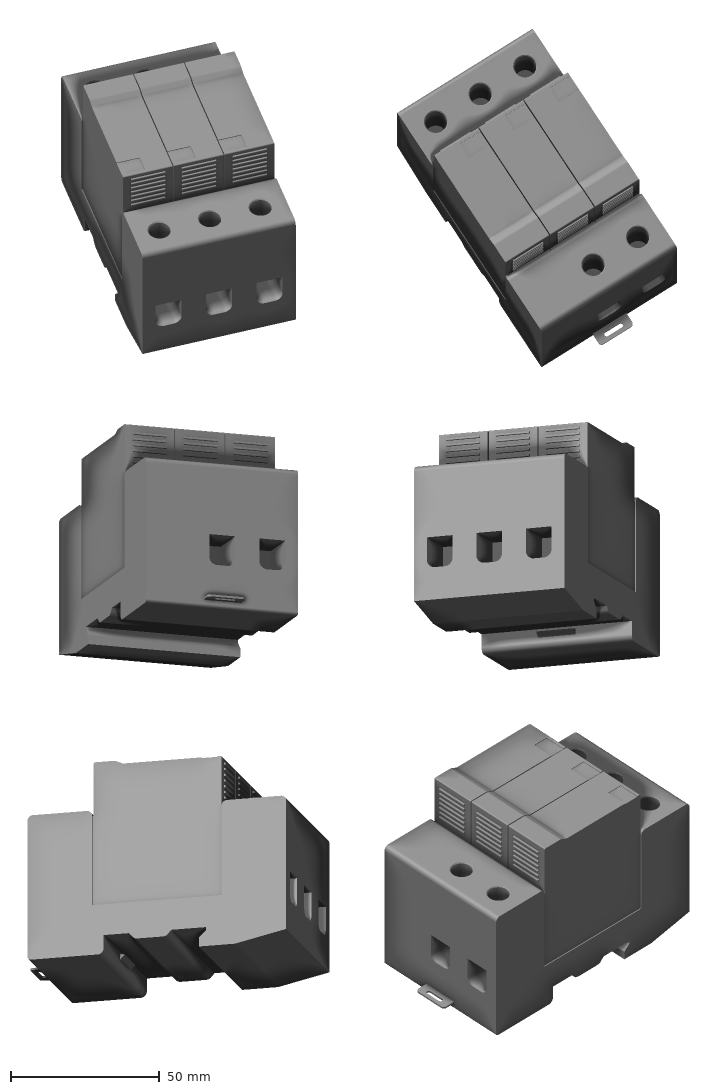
import cadquery as cq

body_length = 90.2
body_width = 54.0
body_height = 50.5
body_top_radius = 1.8
heel_radius = 1.0
toe_radius = 2.0

bay_length = 45.2
bay_floor = 17.4
bay_left = (body_length - bay_length) / 2
bay_right = bay_left + bay_length

recess_left = 26.5
recess_right = 62.2
recess_roof = 6.6
hook_tip = 59.8
hook_low = 3.2
hook_high = 5.5
slope_start = 72.3
slope_rise = 3.75

pad_left = 35.4
pad_right = 50.1
pad_drop = 2.1
pad_run = 1.8
pad_radius = 2.4

module_count = 3
module_pitch = 17.9
module_gap = 0.4
module_width = module_pitch - module_gap
module_left_clearance = 0.5
module_right_clearance = 0.1
module_left = bay_left + module_left_clearance
module_right = bay_right - module_right_clearance
module_shoulder = body_height - body_top_radius
module_top = 67.4
module_step = 1.2
step_start = 30.5
step_end = 33.2
step_crest_radius = 1.8
step_root_radius = 1.0
module_edge_radius = 0.4
module_centres = [(i - (module_count - 1) / 2) * module_pitch for i in range(module_count)]

fin_count = 7
fin_pitch = 2.0
fin_thickness = 0.75
fin_width = 12.0
fin_reach = 0.6
fin_tip_radius = 0.2
fin_top_centre = 64.3

window_left = 60.4
window_right = 66.2
window_width = 8.1
window_depth = 0.25

terminal_pitch = 17.8
terminal_inset = 10.0
screw_diameter = 7.4
screw_chamfer = 0.35
screw_depth = 20.0
entry_width = 9.2
entry_bottom = 14.9
entry_top = 25.4
entry_radius = 2.8
entry_depth = 15.0
left_terminals = [-terminal_pitch, 0.0]
right_terminals = [-terminal_pitch, 0.0, terminal_pitch]

tab_reach = 4.88
tab_width = 13.4
tab_bottom = 2.5
tab_thickness = 0.7
tab_radius = 1.2
tab_slot_length = 7.2
tab_slot_width = 1.6
tab_slot_inset = 2.25
wedge_reach = 1.8
wedge_top = 5.8
wedge_tip = 5.4
wedge_bottom = 3.7


def extrude_across(sketch, width, centre_y=0.0):
    """Extrude an XZ outline by width along Y, centred on centre_y."""
    return sketch.extrude(width / 2, both=True).translate((0, centre_y, 0))


def box_between(x_range, y_range, z_range):
    """Box spanning the given (low, high) ranges."""
    sizes = [high - low for low, high in (x_range, y_range, z_range)]
    corner = (x_range[0], y_range[0], z_range[0])
    return cq.Workplane("XY").box(*sizes, centered=False).translate(corner)


def edges_at(solid, x, z):
    """Edges parallel to Y that pass through the point (x, z)."""
    margin = 0.05
    selector = cq.selectors.BoxSelector(
        (x - margin, -body_width, z - margin), (x + margin, body_width, z + margin)
    )
    return solid.edges("|Y").edges(selector)


def make_housing():
    outline = (
        cq.Workplane("XZ")
        .moveTo(0, 0)
        .lineTo(recess_left, 0)
        .lineTo(recess_left, recess_roof)
        .lineTo(recess_right, recess_roof)
        .lineTo(recess_right, hook_high)
        .lineTo(hook_tip, hook_low)
        .lineTo(hook_tip, 0)
        .lineTo(slope_start, 0)
        .lineTo(body_length, slope_rise)
        .lineTo(body_length, body_height)
        .lineTo(bay_right, body_height)
        .lineTo(bay_right, bay_floor)
        .lineTo(bay_left, bay_floor)
        .lineTo(bay_left, body_height)
        .lineTo(0, body_height)
        .close()
    )
    housing = extrude_across(outline, body_width)
    for x, z, radius in (
        (0, body_height, body_top_radius),
        (body_length, body_height, body_top_radius),
        (bay_left, body_height, body_top_radius),
        (bay_right, body_height, body_top_radius),
        (0, 0, heel_radius),
        (recess_left, 0, toe_radius),
    ):
        housing = edges_at(housing, x, z).fillet(radius)
    return housing


def make_pad():
    pad_bottom = recess_roof - pad_drop
    outline = (
        cq.Workplane("XZ")
        .moveTo(pad_left, recess_roof)
        .lineTo(pad_left + pad_run, pad_bottom)
        .lineTo(pad_right - pad_run, pad_bottom)
        .lineTo(pad_right, recess_roof)
        .close()
    )
    pad = extrude_across(outline, body_width)
    for x in (pad_left + pad_run, pad_right - pad_run):
        pad = edges_at(pad, x, pad_bottom).fillet(pad_radius)
    return pad


def make_module(centre_y):
    low_top = module_top - module_step
    outline = (
        cq.Workplane("XZ")
        .moveTo(bay_left, bay_floor)
        .lineTo(bay_right, bay_floor)
        .lineTo(bay_right, module_shoulder)
        .lineTo(module_right, module_shoulder)
        .lineTo(module_right, low_top)
        .lineTo(step_end, low_top)
        .lineTo(step_start, module_top)
        .lineTo(module_left, module_top)
        .lineTo(module_left, module_shoulder)
        .lineTo(bay_left, module_shoulder)
        .close()
    )
    module = extrude_across(outline, module_width, centre_y)
    for x, z, radius in (
        (module_left, module_top, module_edge_radius),
        (module_right, low_top, module_edge_radius),
        (step_start, module_top, step_crest_radius),
        (step_end, low_top, step_root_radius),
    ):
        module = edges_at(module, x, z).fillet(radius)

    for i in range(fin_count):
        fin_centre = fin_top_centre - i * fin_pitch
        fin = box_between(
            (module_left - fin_reach, module_right + fin_reach),
            (centre_y - fin_width / 2, centre_y + fin_width / 2),
            (fin_centre - fin_thickness / 2, fin_centre + fin_thickness / 2),
        )
        fin = fin.edges("|Y").fillet(fin_tip_radius)
        module = module.union(fin)

    module_front = centre_y - module_width / 2
    window = box_between(
        (window_left, window_right),
        (module_front, module_front + window_width),
        (low_top - window_depth, low_top),
    )
    return module.cut(window)


def make_screw_hole(x, y):
    radius = screw_diameter / 2
    mouth_radius = radius + screw_chamfer
    profile = (
        cq.Workplane("XZ")
        .moveTo(0, body_height)
        .lineTo(mouth_radius, body_height)
        .lineTo(radius, body_height - screw_chamfer)
        .lineTo(radius, body_height - screw_depth)
        .lineTo(0, body_height - screw_depth)
        .close()
    )
    return profile.revolve(360, (0, 0, 0), (0, 1, 0)).translate((x, y, 0))


def make_wire_entry(x_low, y):
    entry = box_between(
        (x_low, x_low + entry_depth),
        (y - entry_width / 2, y + entry_width / 2),
        (entry_bottom, entry_top),
    )
    return entry.faces("<Z").edges("|X").fillet(entry_radius)


def make_tab():
    tab = box_between(
        (-tab_reach, 0),
        (-tab_width / 2, tab_width / 2),
        (tab_bottom, tab_bottom + tab_thickness),
    )
    tab = tab.edges("|Z and <X").fillet(tab_radius)
    slot = (
        cq.Workplane("XY")
        .center(tab_slot_inset - tab_reach, 0)
        .slot2D(tab_slot_length, tab_slot_width, 90)
        .extrude(tab_bottom + tab_thickness)
    )
    return tab.cut(slot)


def make_wedge():
    outline = (
        cq.Workplane("XZ")
        .moveTo(recess_left, wedge_bottom)
        .lineTo(recess_left + wedge_reach, wedge_tip)
        .lineTo(recess_left, wedge_top)
        .close()
    )
    return extrude_across(outline, tab_width)


result = make_housing().union(make_pad()).union(make_tab()).union(make_wedge())
for module_centre in module_centres:
    result = result.union(make_module(module_centre))
for terminal_y in left_terminals:
    result = result.cut(make_screw_hole(terminal_inset, terminal_y))
    result = result.cut(make_wire_entry(0, terminal_y))
for terminal_y in right_terminals:
    result = result.cut(make_screw_hole(body_length - terminal_inset, terminal_y))
    result = result.cut(make_wire_entry(body_length - entry_depth, terminal_y))